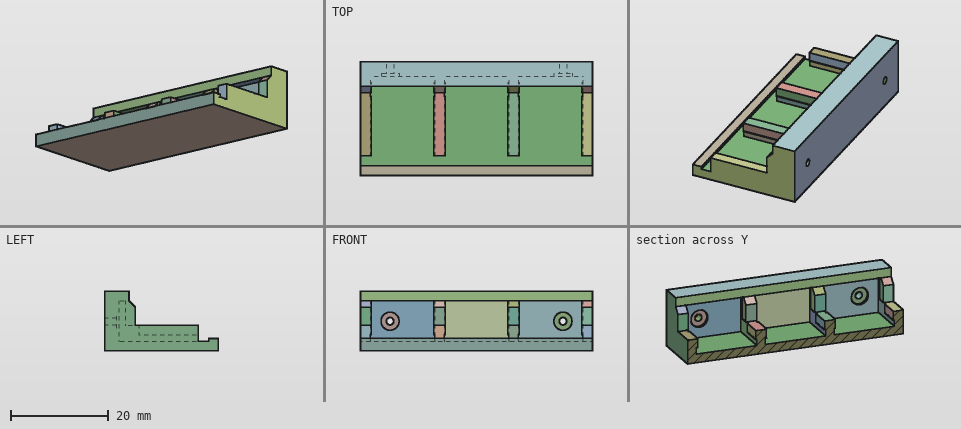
import cadquery as cq

length = 47.45
depth = 23.25
height = 12.2

floor_z = 2.0
lip_depth = 2.0
lip_z = 2.55
rib_front_y = 4.1
rib_top_z = 5.25
post_depth = 6.3
post_front_y = depth - post_depth
post_chamfer = 1.3
rail_depth = 5.05
rail_height = 1.95
rail_front_y = depth - rail_depth
rail_bottom_z = height - rail_height

bay_count = 3
bay_width = 12.7
rib_width = 2.4
bay_pitch = bay_width + rib_width
wall_y = 20.3

recess_depth = 0.25
recess_band = 1.3
recess_knee_y = 16.25

hole_diameter = 1.45
counterbore_diameter = 3.7
counterbore_depth = 0.55
hole_inset = 6.05
hole_z = 6.05


def extrude_along_x(profile, width, center_x):
    """Extrude a closed (y, z) profile symmetrically about center_x."""
    plane = cq.Workplane("YZ", origin=(center_x, 0, 0))
    return plane.polyline(profile).close().extrude(width / 2, both=True)


def make_body():
    profile = [
        (0, 0),
        (depth, 0),
        (depth, height),
        (rail_front_y, height),
        (rail_front_y, rail_bottom_z),
        (post_front_y, rail_bottom_z - post_chamfer),
        (post_front_y, rib_top_z),
        (rib_front_y, rib_top_z),
        (rib_front_y, floor_z),
        (lip_depth, floor_z),
        (lip_depth, lip_z),
        (0, lip_z),
    ]
    return extrude_along_x(profile, length, length / 2)


def make_bay(center_x):
    """Cutter for one bay: the main opening plus the recess in both rib sides."""
    opening_profile = [
        (lip_depth, floor_z),
        (wall_y, floor_z),
        (wall_y, rail_bottom_z),
        (lip_depth, rail_bottom_z),
    ]
    recess_profile = [
        (lip_depth, floor_z),
        (wall_y, floor_z),
        (wall_y, rail_bottom_z),
        (wall_y - recess_band, rail_bottom_z),
        (wall_y - recess_band, rib_top_z),
        (recess_knee_y, rib_top_z),
        (recess_knee_y, floor_z + recess_band),
        (lip_depth, floor_z + recess_band),
    ]
    opening = extrude_along_x(opening_profile, bay_width, center_x)
    recess = extrude_along_x(recess_profile, bay_width + 2 * recess_depth, center_x)
    return opening.union(recess)


def make_screw_hole(center_x):
    """Cutter for one hole, entering the back wall from inside the bay."""
    wall_face = cq.Workplane("XZ", origin=(center_x, wall_y, hole_z))
    through_hole = wall_face.circle(hole_diameter / 2).extrude(wall_y - depth)
    counterbore = wall_face.circle(counterbore_diameter / 2).extrude(-counterbore_depth)
    return through_hole.union(counterbore)


result = make_body()
for bay in range(bay_count):
    bay_offset = (bay - (bay_count - 1) / 2) * bay_pitch
    result = result.cut(make_bay(length / 2 + bay_offset))

for hole_x in (hole_inset, length - hole_inset):
    result = result.cut(make_screw_hole(hole_x))